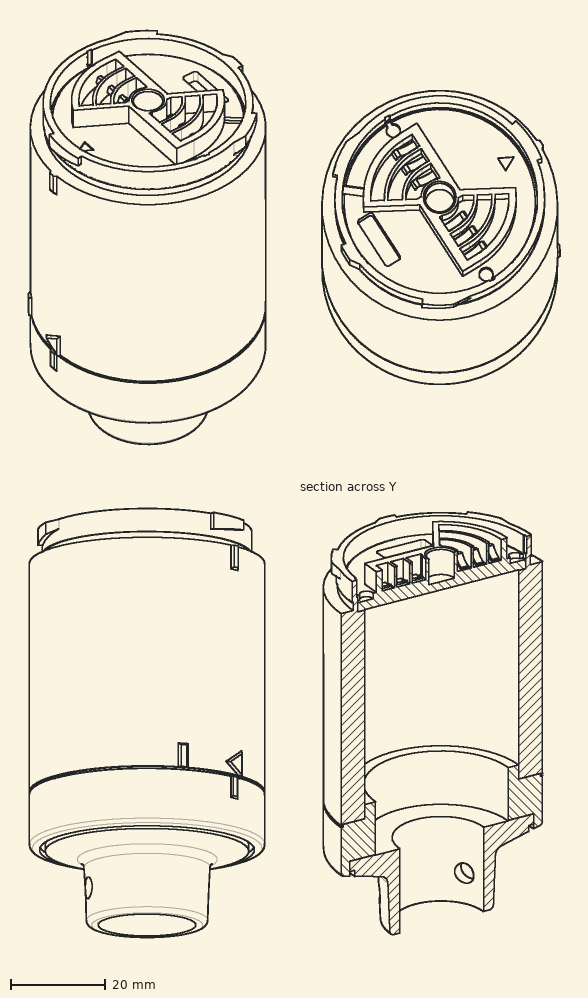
import cadquery as cq
import math


top_z = 86.4
rim_top_z = 85.6
disc_face_z = 81.5
collar_bottom_z = 80.6
shoulder_z = 78.7
sleeve_bottom_z = 28.9
cap_top_z = 28.4
cap_edge_z = 16.9
cone_bottom_z = 14.0

sleeve_radius = 25.0
collar_radius = 22.3
collar_undercut_radius = 22.0
disc_recess_radius = 20.7
sleeve_bore_radius = 19.0
disc_thickness = 3.45
disc_bottom_z = disc_face_z - disc_thickness

lug_radius = 23.3
lug_root_radius = 21.6
lug_low_z = 82.05
lug_high_z = 83.5
stop_lug_angles = (84.0, 84.0, 93.0, 98.0)
ramp_lug_angles = (
    (18.0, 26.0, 45.0, 45.0),
    (138.5, 138.5, 155.0, 165.0),
    (259.5, 259.5, 284.0, 284.0),
)

mark_width = 2.2
mark_length = 5.2
mark_height = 0.5
mark_edge = 0.4
cap_mark_height = 0.3
cap_mark_edge = 0.4
cap_mark_length = 4.7
side_mark_angle = -30.0
arrow_left_x = -2.6
arrow_right_x = 2.3
arrow_tip_height = 2.4
arrow_top_height = 5.5
mark_root = 0.9

groove_radius = 24.5
spigot_height = 3.45
cap_bore_radius = 16.4
cap_mouth_radius = 22.8
cap_edge_fillet = 0.9

flange_bottom_z = 17.45
flange_top_z = 19.9
cone_radius = 21.6
neck_top_radius = 13.5
neck_bottom_radius = 12.9
neck_bore_radius = 10.4
neck_root_fillet = 1.9
neck_end_fillet = 1.1
neck_hole_diameter = 4.6
neck_hole_z = 7.2
neck_hole_angles = (30.0, 150.0)

disc_radius = 20.3
disc_lip = 0.4
block_radius = 16.2
block_half_width = 4.5
block_waist_x = 0.9
fan_angle = 60.0
hub_radius = 4.0
bore_radius = 3.1
bore_chamfer = 0.35
bore_depth = 6.2
pocket_rings = ((3.6, 7.25), (7.95, 11.05), (11.75, 14.7))
pocket_side_y = -2.3
pocket_min_x = 2.25
fan_wall = 1.3
slot_length = 11.9
slot_width = 3.7
slot_center_y = 15.2
slot_corner = 0.7
slot_depth = 2.7
keyhole_radius = 1.5
keyhole_x = 18.5
keyhole_neck_width = 1.2
keyhole_depth = 1.3
key_notch_radius = 21.0
channel_width = 1.8
channel_angle = 50.0
channel_depth = 0.9
pointer_half_width = 1.6
pointer_base_y = -15.55
pointer_tip_y = -18.6
pointer_depth = 0.3

contact_width = 1.7
contact_thickness = 0.35
contact_radii = (5.6, 9.4, 13.3)
contact_peak_y = 2.1
contact_crest_end_y = 2.8
contact_end_y = 3.2
contact_peak_z = 84.3
contact_drop = 1.3
contact_bend_y = 0.4
contact_bend_z = 82.3


def polar(radius, angle):
    """Point at a radius and an angle in degrees from +X."""
    return (radius * math.cos(math.radians(angle)), radius * math.sin(math.radians(angle)))


def cylinder(radius, bottom_z, end_z):
    return cq.Workplane("XY").workplane(offset=bottom_z).circle(radius).extrude(end_z - bottom_z)


def box(x_range, y_range, z_range):
    """Box from its limits along each axis."""
    size = [high - low for low, high in (x_range, y_range, z_range)]
    corner = (x_range[0], y_range[0], z_range[0])
    return cq.Workplane("XY").box(*size, centered=False).translate(corner)


def turned(shape, angle):
    return shape.rotate((0, 0, 0), (0, 0, 1), angle)


def lug_block(start, full_start, full_end, end):
    """Lug over the full collar height, at full radius from full_start to full_end."""
    return (
        cq.Workplane("XY")
        .workplane(offset=collar_bottom_z)
        .moveTo(*polar(lug_root_radius, start))
        .lineTo(*polar(collar_radius, start))
        .lineTo(*polar(lug_radius, full_start))
        .threePointArc(polar(lug_radius, (full_start + full_end) / 2), polar(lug_radius, full_end))
        .lineTo(*polar(collar_radius, end))
        .lineTo(*polar(lug_root_radius, end))
        .threePointArc(polar(lug_root_radius, (start + end) / 2), polar(lug_root_radius, start))
        .close()
        .extrude(rim_top_z - collar_bottom_z)
    )


def ramp_lug(start, full_start, full_end, end):
    """Lug whose underside rises from its start to its end."""
    half_span = lug_radius * math.sin(math.radians((end - start) / 2))
    side = (
        cq.Workplane("YZ")
        .polyline([
            (-half_span, lug_low_z),
            (half_span, lug_high_z),
            (half_span, rim_top_z),
            (-half_span, rim_top_z),
        ])
        .close()
        .extrude(2 * lug_radius)
    )
    return lug_block(start, full_start, full_end, end).intersect(turned(side, (start + end) / 2))


def raised_mark(points, height, edge):
    """Raised shape on the -Y side of the sleeve radius, with bevelled edges."""
    taper = math.degrees(math.atan2(edge, height))
    root = cq.Workplane("XZ").workplane(offset=sleeve_radius - mark_root).polyline(points).close()
    face = cq.Workplane("XZ").workplane(offset=sleeve_radius).polyline(points).close()
    return root.extrude(mark_root).union(face.extrude(height, taper=taper))


def bar_points(bottom_z, end_z):
    half = mark_width / 2
    return [(-half, bottom_z), (half, bottom_z), (half, end_z), (-half, end_z)]


def make_sleeve():
    body = cylinder(sleeve_radius, sleeve_bottom_z, shoulder_z)
    body = body.union(cylinder(collar_undercut_radius, shoulder_z, collar_bottom_z))
    body = body.union(cylinder(collar_radius, collar_bottom_z, rim_top_z))

    body = body.union(lug_block(*stop_lug_angles))
    for angles in ramp_lug_angles:
        body = body.union(ramp_lug(*angles))

    top_bar = raised_mark(
        bar_points(shoulder_z - mark_length, shoulder_z + mark_edge), mark_height, mark_edge
    )
    side_bar = raised_mark(
        bar_points(sleeve_bottom_z - mark_edge, sleeve_bottom_z + mark_length), mark_height, mark_edge
    )
    arrow_tip_z = sleeve_bottom_z + arrow_tip_height
    arrow_rise = arrow_top_height - arrow_tip_height
    arrow = raised_mark(
        [
            (arrow_left_x, arrow_tip_z),
            (arrow_right_x, arrow_tip_z - arrow_rise),
            (arrow_right_x, arrow_tip_z + arrow_rise),
        ],
        mark_height,
        mark_edge,
    )
    marks = top_bar.union(turned(side_bar, side_mark_angle)).union(arrow)
    body = body.union(marks.intersect(cylinder(2 * sleeve_radius, sleeve_bottom_z, shoulder_z)))

    body = body.cut(cylinder(sleeve_bore_radius, sleeve_bottom_z, disc_bottom_z))
    body = body.cut(cylinder(disc_recess_radius, disc_bottom_z, rim_top_z))
    half = keyhole_neck_width / 2
    notch = box((-key_notch_radius, key_notch_radius), (-half, half), (disc_face_z, rim_top_z))
    return body.cut(notch)


def cone_z(radius):
    """Height of the underside cone, which runs from the neck out to the edge of the cap ring."""
    slope = (cap_edge_z - cone_bottom_z) / (sleeve_radius - neck_top_radius)
    return cone_bottom_z + slope * (radius - neck_top_radius)


def revolved(points):
    """Solid of revolution about Z from a profile of (radius, z) points."""
    return cq.Workplane("XZ").polyline(points).close().revolve(360, (0, 0, 0), (0, 1, 0))


def circle_edge(radius, height):
    """Selector for the circular edge of a given radius and height."""
    margin = 0.1
    reach = radius + margin
    low_corner = (-reach, -reach, height - margin)
    high_corner = (reach, reach, height + margin)
    return cq.selectors.BoxSelector(low_corner, high_corner, boundingbox=True)


def make_cap():
    spigot_top_z = sleeve_bottom_z + spigot_height
    ring = revolved([
        (cap_mouth_radius, cone_z(cap_mouth_radius)),
        (sleeve_radius, cap_edge_z),
        (sleeve_radius, cap_top_z),
        (groove_radius, cap_top_z),
        (groove_radius, sleeve_bottom_z),
        (sleeve_bore_radius, sleeve_bottom_z),
        (sleeve_bore_radius, spigot_top_z),
        (cap_bore_radius, spigot_top_z),
        (cap_bore_radius, flange_top_z),
        (cap_mouth_radius, flange_top_z),
    ])
    ring = ring.edges(circle_edge(sleeve_radius, cap_edge_z)).fillet(cap_edge_fillet)
    mark = raised_mark(
        bar_points(cap_top_z - cap_mark_length, cap_top_z + mark_edge), cap_mark_height, cap_mark_edge
    )
    return ring.union(mark.intersect(cylinder(2 * sleeve_radius, 0, cap_top_z)))


def make_neck():
    neck = revolved([
        (0, 0),
        (neck_bottom_radius, 0),
        (neck_top_radius, cone_bottom_z),
        (cone_radius, cone_z(cone_radius)),
        (cone_radius, flange_bottom_z),
        (cap_mouth_radius, flange_bottom_z),
        (cap_mouth_radius, flange_top_z),
        (0, flange_top_z),
    ])
    neck = neck.edges(circle_edge(neck_top_radius, cone_bottom_z)).fillet(neck_root_fillet)
    neck = neck.edges(circle_edge(neck_bottom_radius, 0)).fillet(neck_end_fillet)
    neck = neck.cut(cylinder(neck_bore_radius, 0, flange_top_z))
    for angle in neck_hole_angles:
        hole = (
            cq.Workplane("YZ")
            .center(0, neck_hole_z)
            .circle(neck_hole_diameter / 2)
            .extrude(2 * neck_top_radius)
        )
        neck = neck.cut(turned(hole, angle))
    return neck


def fan_line_x(y, inset=0.0):
    """X of the slanted fan side at a height y, moved inward by inset."""
    slant = math.radians(fan_angle)
    return block_waist_x + (y - block_half_width) / math.tan(slant) + inset / math.sin(slant)


def half_block():
    """+X half of the raised block: a fan closed by a straight side at -Y."""
    far_y = block_radius
    wedge = (
        cq.Workplane("XY")
        .workplane(offset=disc_bottom_z)
        .polyline([
            (0, -block_half_width),
            (block_radius, -block_half_width),
            (block_radius, 0),
            (block_radius, far_y),
            (fan_line_x(far_y), far_y),
            (block_waist_x, block_half_width),
            (0, block_half_width),
        ])
        .close()
        .extrude(top_z - disc_bottom_z)
    )
    limit = cylinder(block_radius, disc_bottom_z, top_z).union(
        box((0, block_radius), (-block_half_width, 0), (disc_bottom_z, top_z))
    )
    return wedge.intersect(limit)


def pocket(inner, outer):
    """Pocket of the +X fan: a ring stretch above y = 0 and a straight stretch below it."""
    z_range = (disc_face_z, top_z)
    ring = cylinder(outer, *z_range).cut(cylinder(inner, *z_range))
    fan = (
        cq.Workplane("XY")
        .workplane(offset=disc_face_z)
        .polyline([
            (pocket_min_x, 0),
            (outer, 0),
            (outer, outer),
            (fan_line_x(outer, fan_wall), outer),
            (fan_line_x(0, fan_wall), 0),
        ])
        .close()
        .extrude(top_z - disc_face_z)
    )
    kept = box((pocket_min_x, outer), (0, outer), z_range)
    straight = box((inner, outer), (pocket_side_y, 0), z_range)
    return ring.intersect(fan).intersect(kept).union(straight).cut(cylinder(hub_radius, *z_range))


def make_disc():
    disc = cylinder(disc_recess_radius, disc_bottom_z, disc_face_z - disc_lip)
    disc = disc.union(cylinder(disc_radius, disc_bottom_z, disc_face_z))

    for angle in (0, 180):
        disc = disc.union(turned(half_block(), angle))
    for angle in (0, 180):
        for inner, outer in pocket_rings:
            disc = disc.cut(turned(pocket(inner, outer), angle))

    disc = disc.cut(cylinder(bore_radius, top_z - bore_depth, top_z))
    countersink = cq.Workplane("XY").add(
        cq.Solid.makeCone(bore_radius, bore_radius + bore_chamfer, bore_chamfer)
    )
    disc = disc.cut(countersink.translate((0, 0, top_z - bore_chamfer)))

    slot = (
        box(
            (-slot_length / 2, slot_length / 2),
            (slot_center_y - slot_width / 2, slot_center_y + slot_width / 2),
            (disc_face_z - slot_depth, disc_face_z),
        )
        .edges("|Z")
        .fillet(slot_corner)
    )
    disc = disc.cut(slot)

    half_neck = keyhole_neck_width / 2
    keyhole_z = (disc_face_z - keyhole_depth, disc_face_z)
    keyhole = cylinder(keyhole_radius, *keyhole_z).translate((keyhole_x, 0, 0)).union(
        box((keyhole_x, disc_recess_radius), (-half_neck, half_neck), keyhole_z)
    )
    for angle in (0, 180):
        disc = disc.cut(turned(keyhole, angle))

    channel = box(
        (block_radius, disc_recess_radius),
        (-channel_width / 2, channel_width / 2),
        (disc_face_z - channel_depth, disc_face_z),
    )
    disc = disc.cut(turned(channel, channel_angle))

    pointer = (
        cq.Workplane("XY")
        .workplane(offset=disc_face_z)
        .polyline([
            (-pointer_half_width, pointer_base_y),
            (pointer_half_width, pointer_base_y),
            (0, pointer_tip_y),
        ])
        .close()
        .extrude(-pointer_depth)
    )
    return disc.cut(pointer)


def make_contact(radius):
    """Leaf spring curling up from the pocket floor, with a crest bent down at its free end."""
    thick = contact_thickness
    end_z = contact_peak_z - contact_drop
    pocket_space = box(
        (radius - contact_width, radius + contact_width),
        (pocket_side_y, block_radius),
        (disc_face_z, top_z),
    )
    leaf = (
        cq.Workplane("YZ")
        .workplane(offset=radius - contact_width / 2)
        .moveTo(pocket_side_y, disc_face_z)
        .threePointArc(
            (contact_bend_y + thick / 2, contact_bend_z - thick / 2),
            (contact_peak_y, contact_peak_z - thick),
        )
        .lineTo(contact_crest_end_y - thick / 2, contact_peak_z - thick)
        .lineTo(contact_end_y - thick, end_z)
        .lineTo(contact_end_y, end_z)
        .lineTo(contact_crest_end_y, contact_peak_z)
        .lineTo(contact_peak_y - thick / 2, contact_peak_z)
        .threePointArc(
            (contact_bend_y - thick / 2, contact_bend_z + thick / 2),
            (pocket_side_y, disc_face_z + thick),
        )
        .close()
        .extrude(contact_width)
    )
    return leaf.intersect(pocket_space)


sleeve = make_sleeve()
cap = make_cap()
neck = make_neck()
disc = make_disc()
contacts = [
    turned(make_contact(radius), angle).val().Solids()[0]
    for angle in (0, 180)
    for radius in contact_radii
]

result = cq.Compound.makeCompound([sleeve.val(), cap.val(), neck.val(), disc.val(), *contacts])